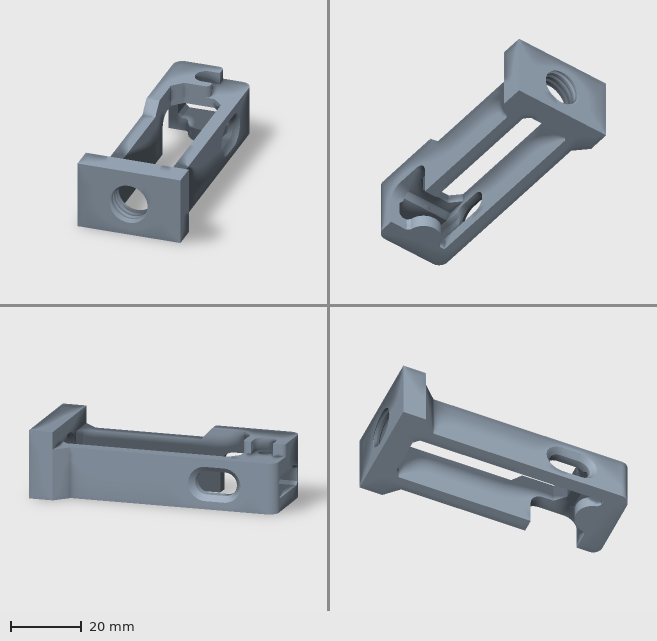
import cadquery as cq
import math

foot_width = 31.0
foot_height = 20.0
foot_thickness = 7.1
length = 72.25
frame_width = 22.9
frame_height = 18.5
low_height = 14.9
flare = (foot_width - frame_width) / 2
corner_radius = 2.9

opening_width = 15.0
opening_end = length - 12.65
near_chamfer = 1.6
far_chamfer = 2.95

ramp_top = length - 25.3
ramp_bottom = length - 28.75

pin_y = length - 6.85
pin_diameter = 3.9
pin_floor = 10.8
hook_radius = 3.25
seam_x = 2.95
seam_radius = 1.4

passage_width = 12.0
inner_end = length - 6.8
floor_height = 4.0
ceiling_inner = 12.1
ceiling_slope_start = length - 9.55
ceiling_outer = 10.4
boss_radius = 5.1
boss_facet = 1.1
groove_top = 9.9
groove_depth = 1.0

window_end = length - 22.7
window_top = 12.1
window_radius = 4.1
slot_length = 12.4
slot_height = 6.85
slot_end = length - 12.1
slot_chamfer = 1.6

thread_minor = 11.1
thread_depth = 0.65
thread_pitch = 1.95
thread_root = 0.4
thread_start = 110

half_frame = frame_width / 2
half_foot = foot_width / 2
half_opening = opening_width / 2
half_passage = passage_width / 2
wall = half_frame - half_opening


def box(x0, x1, y0, y1, z0, z1):
    return cq.Workplane("XY").box(x1 - x0, y1 - y0, z1 - z0, centered=False).translate((x0, y0, z0))


def make_frame():
    foot = box(-half_foot, half_foot, 0, foot_thickness, 0, foot_height)
    body = (
        box(-half_frame, half_frame, foot_thickness, length, 0, frame_height)
        .edges("|Z and >Y").fillet(corner_radius)
    )
    flares = (
        cq.Workplane("XY")
        .polyline([
            (-half_foot, foot_thickness), (half_foot, foot_thickness),
            (half_frame, foot_thickness + flare), (-half_frame, foot_thickness + flare),
        ])
        .close().extrude(low_height)
    )
    opening = box(-half_opening, half_opening, foot_thickness, opening_end, 0, frame_height)
    opening = opening.edges("|Z and <Y").chamfer(near_chamfer)
    opening = opening.edges("|Z and >Y").chamfer(far_chamfer)
    under = box(-half_opening, half_opening, opening_end - far_chamfer, inner_end, 0, floor_height)
    return body.union(flares).cut(opening).cut(under).union(foot)


def make_top_step():
    """Material above the low level: the ramp, and the area right of the hooked seam."""
    rise = frame_height - low_height
    ramp = (
        cq.Workplane("YZ")
        .polyline([
            (foot_thickness, low_height), (ramp_bottom, low_height),
            (ramp_top, frame_height), (foot_thickness, frame_height),
        ])
        .close().extrude(half_frame, both=True)
    )
    edge_x = seam_x - seam_radius
    diagonal = math.sqrt(0.5)
    arc_x = seam_x - seam_radius * (1 - diagonal)
    arc_rise = seam_radius * (1 - diagonal)
    seam = (
        cq.Workplane("XY").workplane(offset=low_height)
        .moveTo(half_frame, foot_thickness)
        .lineTo(edge_x, foot_thickness)
        .lineTo(edge_x, opening_end)
        .threePointArc((arc_x, opening_end + arc_rise), (seam_x, opening_end + seam_radius))
        .lineTo(seam_x, pin_y - hook_radius)
        .lineTo(0, pin_y - hook_radius)
        .threePointArc((-hook_radius, pin_y), (0, pin_y + hook_radius))
        .lineTo(seam_x, pin_y + hook_radius)
        .lineTo(seam_x, length - seam_radius)
        .threePointArc((arc_x, length - arc_rise), (edge_x, length))
        .lineTo(half_frame, length)
        .close().extrude(rise)
    )
    return ramp.union(seam)


def make_passage():
    """Space under the end plate, grooved into both side walls and open at the far end."""
    slope_end = ceiling_slope_start + ceiling_inner - ceiling_outer
    hollow = (
        cq.Workplane("YZ")
        .polyline([
            (opening_end - far_chamfer, floor_height), (length, floor_height),
            (length, ceiling_outer), (slope_end, ceiling_outer),
            (ceiling_slope_start, ceiling_inner),
            (opening_end - far_chamfer, ceiling_inner),
        ])
        .close().extrude(half_opening, both=True)
    )
    groove_x = half_opening + groove_depth
    grooves = (
        cq.Workplane("XZ", origin=(0, length, 0))
        .polyline([
            (-half_opening, floor_height), (half_opening, floor_height),
            (groove_x, floor_height + groove_depth), (groove_x, groove_top - groove_depth),
            (half_opening, groove_top), (-half_opening, groove_top),
            (-groove_x, groove_top - groove_depth), (-groove_x, floor_height + groove_depth),
        ])
        .close().extrude(length - slot_end + slot_height / 2)
    )
    return hollow.union(grooves)


def make_boss():
    boss = cq.Workplane("XY").center(0, pin_y).circle(boss_radius).extrude(floor_height)
    facets = (
        cq.Workplane("XY")
        .polyline([
            (-half_passage, inner_end), (half_passage, inner_end),
            (half_passage - boss_facet, inner_end - boss_facet),
            (boss_facet - half_passage, inner_end - boss_facet),
        ])
        .close().extrude(floor_height)
    )
    return boss.union(facets)


def make_windows():
    left = box(-half_frame, -half_opening, window_end, inner_end, 0, window_top)
    left = left.edges("|X and >Z").fillet(window_radius)
    slot_center = (slot_end - slot_length / 2, floor_height + slot_height / 2)
    right = (
        cq.Workplane("YZ", origin=(half_opening, 0, 0))
        .center(*slot_center).slot2D(slot_length, slot_height).extrude(wall)
    )
    flared = (
        cq.Workplane("YZ", origin=(half_frame, 0, 0))
        .center(*slot_center)
        .slot2D(slot_length + 2 * slot_chamfer, slot_height + 2 * slot_chamfer)
        .extrude(-slot_chamfer, taper=45)
    )
    right = right.union(flared)
    return left.union(right)


def cut_thread(body):
    """Bore the foot, then cut a helical V groove with a narrow flat root."""
    minor_radius = thread_minor / 2
    bore = (
        cq.Workplane("XZ", origin=(0, foot_thickness, foot_height / 2))
        .circle(minor_radius).extrude(foot_thickness)
    )
    overlap = 0.15
    mouth = thread_root / 2 + (thread_depth + overlap) * math.tan(math.radians(30))
    inner_radius = minor_radius - overlap
    helix = cq.Wire.makeHelix(thread_pitch, foot_thickness + 2 * thread_pitch, minor_radius)
    groove = (
        cq.Workplane("XZ")
        .polyline([
            (inner_radius, -mouth), (minor_radius + thread_depth, -thread_root / 2),
            (minor_radius + thread_depth, thread_root / 2), (inner_radius, mouth),
        ])
        .close().sweep(cq.Workplane(helix), isFrenet=True)
        .rotate((0, 0, 0), (1, 0, 0), -90)
        .rotate((0, 0, 0), (0, 1, 0), thread_start)
        .translate((0, -thread_pitch, foot_height / 2))
    )
    limits = box(-half_foot, half_foot, 0, foot_thickness, 0, foot_height)
    return body.cut(bore).cut(groove.intersect(limits))


pin_hole = (
    cq.Workplane("XY", origin=(0, pin_y, pin_floor))
    .circle(pin_diameter / 2).extrude(frame_height - pin_floor)
)

result = make_frame().cut(make_top_step()).cut(make_passage()).cut(make_windows())
result = result.union(make_boss()).cut(pin_hole)
result = cut_thread(result)